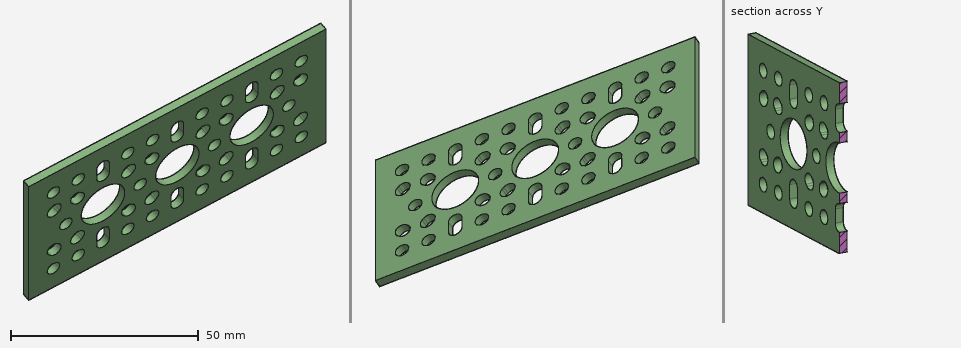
import cadquery as cq
import math

length = 96.0
height = length / 2
thickness = 2.5

pitch = length / 12
cell = 3 * pitch
hole_diameter = pitch / 2
bore_diameter = 1.75 * pitch

edge_row = 2 * pitch
slot_travel = pitch / 2
inner_radius = pitch * math.sqrt(2)
outer_radius = cell / 2

signs = (-1, 1)
bore_positions = [-cell, 0, cell]
midway_positions = [-1.5 * cell, -0.5 * cell, 0.5 * cell, 1.5 * cell]
column_offset = pitch / 2


def cutter(points):
    """Workplane on one broad face of the plate, with the given (Y, Z) centres selected."""
    return cq.Workplane("YZ", origin=(-thickness / 2, 0, 0)).pushPoints(points)


def round_holes(points, diameter):
    """Round through holes."""
    return cutter(points).circle(diameter / 2).extrude(thickness)


def slots(points, travel, angle):
    """Through slots whose long axis makes the given angle with Y."""
    return cutter(points).slot2D(travel + hole_diameter, hole_diameter, angle).extrude(thickness)


plate = cq.Workplane("XY").box(thickness, length, height)

plate = plate.cut(round_holes([(y, 0) for y in bore_positions], bore_diameter))
plate = plate.cut(round_holes([(y, 0) for y in midway_positions], hole_diameter))

edge_holes = [
    (y + side_y * column_offset, side_z * edge_row)
    for y in midway_positions
    for side_y in signs
    for side_z in signs
]
plate = plate.cut(round_holes(edge_holes, hole_diameter))

slot_center = edge_row - slot_travel / 2
upright_slots = [(y, side_z * slot_center) for y in bore_positions for side_z in signs]
plate = plate.cut(slots(upright_slots, slot_travel, 90))

diagonal_travel = outer_radius - inner_radius
diagonal_offset = (inner_radius + outer_radius) / 2 / math.sqrt(2)
for side_y in signs:
    for side_z in signs:
        diagonal_slots = [
            (y - side_y * cell / 2 + side_y * diagonal_offset, side_z * diagonal_offset)
            for y in midway_positions
        ]
        plate = plate.cut(slots(diagonal_slots, diagonal_travel, 45 * side_y * side_z))

result = plate